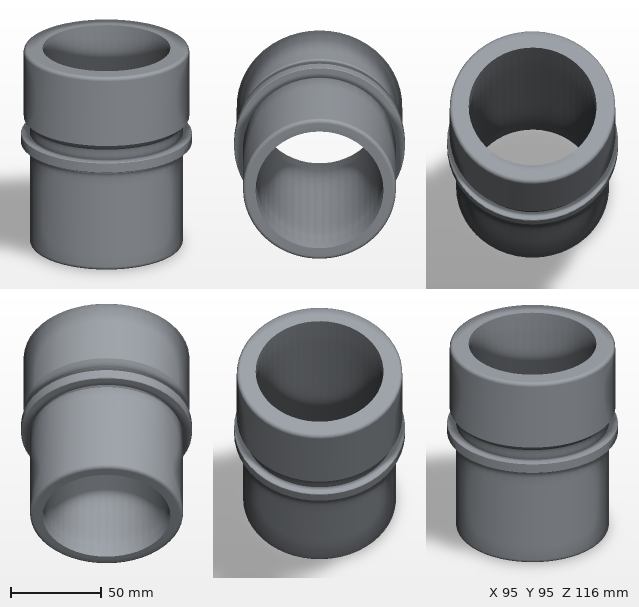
import cadquery as cq

total_length = 116.0
bore_radius = 35.5

shank_radius = 42.5
shank_end_round = 2.0

groove_depth = 0.9
groove_width = 2.4

collar_radius = 47.5
collar_bottom = 60.0
collar_thickness = 6.0
collar_edge_chamfer = 0.3

head_radius = 46.0
head_bottom = 72.0
head_end_round = 2.0

groove_radius = shank_radius - groove_depth
groove_bottom = collar_bottom - groove_width
collar_top = collar_bottom + collar_thickness
head_taper_height = head_radius - shank_radius


def cylinder(radius, bottom, top):
    """Solid cylinder about the Z axis between two heights."""
    return cq.Workplane("XY").workplane(offset=bottom).circle(radius).extrude(top - bottom)


def make_shank():
    """Plain lower cylinder with a rounded end."""
    shank = cylinder(shank_radius, 0, groove_bottom)
    return shank.faces("<Z").edges().fillet(shank_end_round)


def make_groove_core():
    """Reduced neck under the collar, tapering out at 45 degrees to the shank."""
    profile = (
        cq.Workplane("XZ")
        .moveTo(0, groove_bottom)
        .lineTo(shank_radius, groove_bottom)
        .lineTo(groove_radius, groove_bottom + groove_depth)
        .lineTo(groove_radius, collar_bottom)
        .lineTo(0, collar_bottom)
        .close()
    )
    return profile.revolve(360, (0, 0), (0, 1))


def make_collar():
    """Flange ring with both rims lightly chamfered."""
    collar = cylinder(collar_radius, collar_bottom, collar_top)
    return collar.faces("<Z or >Z").edges().chamfer(collar_edge_chamfer)


def make_neck():
    """Cylinder joining the collar to the head."""
    return cylinder(shank_radius, collar_top, head_bottom)


def make_head():
    """Upper cylinder with a 45 degree lower taper and a rounded top rim."""
    head = cylinder(head_radius, head_bottom, total_length)
    head = head.faces("<Z").edges().chamfer(head_taper_height)
    return head.faces(">Z").edges().fillet(head_end_round)


def make_bushing():
    """All outer sections joined, then bored through."""
    body = make_shank()
    for section in (make_groove_core(), make_collar(), make_neck(), make_head()):
        body = body.union(section)
    return body.cut(cylinder(bore_radius, 0, total_length))


result = make_bushing()